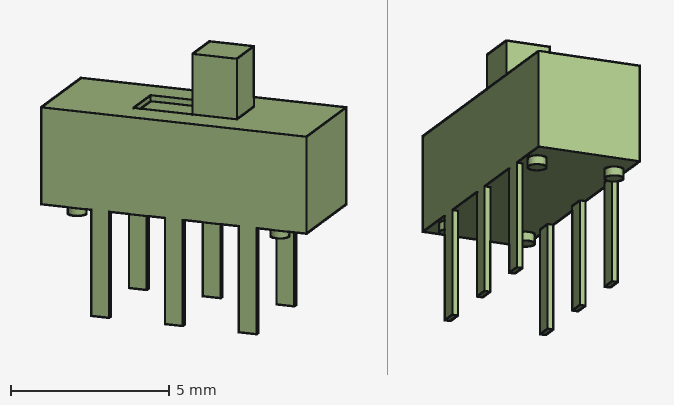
import cadquery as cq

body_length = 9.0
body_width = 3.5
body_height = 3.2

slot_length = 3.5
slot_depth = 0.2
slider_size = 1.5
slider_height = 2.0

pin_columns = 3
pin_pitch = 2.5
pin_width = 0.6
pin_thickness = 0.2
pin_length = 3.5

peg_diameter = 0.6
peg_height = 0.3
peg_x = 3.44
peg_y = 1.33


def make_housing():
    housing = cq.Workplane("XY").box(body_length, body_width, body_height, centered=(True, True, False))
    slot = (
        cq.Workplane("XY", origin=(0, 0, body_height))
        .rect(slot_length, slider_size)
        .extrude(-slot_depth)
    )
    return housing.cut(slot)


def make_slider():
    slider_x = (slot_length - slider_size) / 2
    return (
        cq.Workplane("XY", origin=(slider_x, 0, body_height - slot_depth))
        .rect(slider_size, slider_size)
        .extrude(slot_depth + slider_height)
    )


def make_pins():
    row_spacing = body_width - pin_thickness
    return (
        cq.Workplane("XY")
        .rarray(pin_pitch, row_spacing, pin_columns, 2)
        .rect(pin_width, pin_thickness)
        .extrude(-pin_length)
    )


def make_pegs():
    return (
        cq.Workplane("XY")
        .rarray(2 * peg_x, 2 * peg_y, 2, 2)
        .circle(peg_diameter / 2)
        .extrude(-peg_height)
    )


result = make_housing().union(make_slider()).union(make_pins()).union(make_pegs())